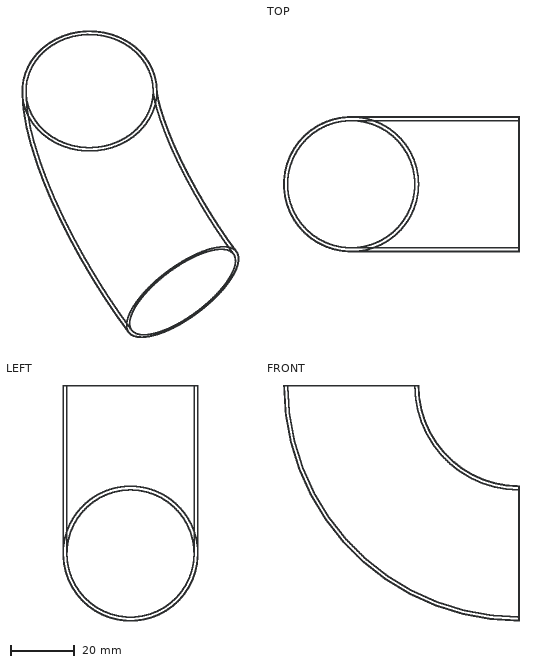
import cadquery as cq

overall_length = 74.0
outer_diameter = 42.4
wall_thickness = 1.2
bend_angle = 90

inner_diameter = outer_diameter - 2 * wall_thickness
bend_radius = overall_length - outer_diameter / 2

result = (
    cq.Workplane("XY")
    .center(-bend_radius, 0)
    .circle(outer_diameter / 2)
    .circle(inner_diameter / 2)
    .revolve(bend_angle, (bend_radius, 0, 0), (bend_radius, -1, 0))
)